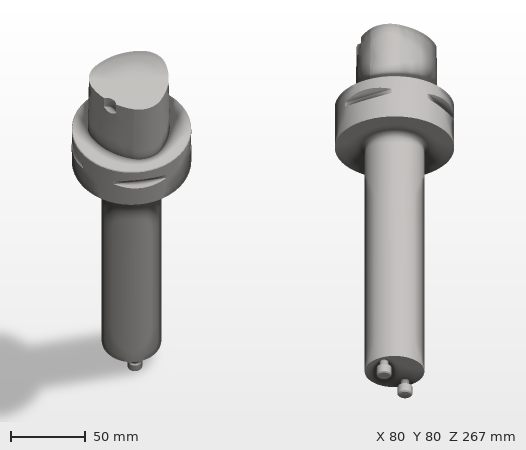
import cadquery as cq
import math

total_height = 267.0
shank_height = 48.0
flange_height = 32.0
screw_length = 11.0

flange_diameter = 80.0
flange_chamfer = 0.5
bar_diameter = 40.0
neck_fillet = 3.0

lobe_reach = 29.5
flank_reach = 25.5
lobe_half_angle = 36.0
first_lobe = 90.0
lobe_count = 3
lobe_spacing = 360.0 / lobe_count
shank_taper_angle = 0.9

mark_radius = 6.5
mark_depth = 8.3
mark_wall_y = -22.2
mark_cone_slope = 40.0

groove_count = 4
first_groove = 45.0
groove_drop = 12.0
groove_depth = 4.3
groove_floor_width = 3.2
groove_mouth_width = 8.3

screw_shaft_diameter = 6.0
screw_offset = bar_diameter / 4
screw_head_diameter = 10.0
screw_head_height = 6.5
screw_head_chamfer = 0.8

flange_top = total_height - shank_height
flange_bottom = flange_top - flange_height
bar_bottom = screw_length
flange_radius = flange_diameter / 2
bar_radius = bar_diameter / 2


def polar(radius, degrees):
    angle = math.radians(degrees)
    return radius * math.cos(angle), radius * math.sin(angle)


def make_bar_and_flange():
    bar_length = flange_bottom - bar_bottom
    bar = cq.Workplane("XY", origin=(0, 0, bar_bottom)).circle(bar_radius).extrude(bar_length)
    flange = cq.Workplane("XY", origin=(0, 0, flange_bottom)).circle(flange_radius).extrude(flange_height)
    flange = flange.faces(">Z").edges().chamfer(flange_chamfer)
    body = bar.union(flange)
    inner_corner = cq.selectors.RadiusNthSelector(0)
    return body.faces("<Z[1]").edges(inner_corner).fillet(neck_fillet)


def make_shank():
    flank_angle = lobe_spacing / 2
    half_lobe = math.radians(lobe_half_angle)
    sin_flank = math.sin(math.radians(flank_angle))
    cos_flank = math.cos(math.radians(flank_angle))
    tangency = 1 - cos_flank - sin_flank * math.tan(half_lobe / 2)
    flank_center = (lobe_reach - flank_reach) / tangency
    lobe_center = flank_center * (sin_flank / math.tan(half_lobe) - cos_flank)
    lobe_radius = lobe_reach - lobe_center

    seam_along = lobe_center + lobe_radius * math.cos(half_lobe)
    seam_across = lobe_radius * math.sin(half_lobe)
    seam_reach = math.hypot(seam_along, seam_across)
    seam_angle = math.degrees(math.atan2(seam_across, seam_along))

    outline = cq.Workplane("XY").workplane(offset=flange_top)
    outline = outline.moveTo(*polar(seam_reach, first_lobe - seam_angle))
    for index in range(lobe_count):
        lobe = first_lobe + index * lobe_spacing
        next_lobe = lobe + lobe_spacing
        outline = outline.threePointArc(polar(lobe_reach, lobe), polar(seam_reach, lobe + seam_angle))
        outline = outline.threePointArc(
            polar(flank_reach, lobe + flank_angle),
            polar(seam_reach, next_lobe - seam_angle),
        )
    return outline.close().extrude(shank_height, taper=shank_taper_angle)


def make_mark():
    point_height = mark_radius * math.tan(math.radians(mark_cone_slope))
    shoulder = total_height - mark_depth
    drill = (
        cq.Workplane("XZ")
        .moveTo(0, total_height)
        .lineTo(mark_radius, total_height)
        .lineTo(mark_radius, shoulder)
        .lineTo(0, shoulder - point_height)
        .close()
        .revolve(360, (0, 0, 0), (0, 1, 0))
    )
    return drill.translate((0, mark_wall_y - mark_radius, 0))


def make_groove(direction):
    floor_x = flange_radius - groove_depth
    middle_z = flange_top - groove_drop
    slope = (groove_mouth_width - groove_floor_width) / 2 / groove_depth
    outer_x = flange_radius + groove_depth
    outer_half = groove_floor_width / 2 + slope * (outer_x - floor_x)
    groove = (
        cq.Workplane("XZ")
        .moveTo(floor_x, middle_z - groove_floor_width / 2)
        .lineTo(outer_x, middle_z - outer_half)
        .lineTo(outer_x, middle_z + outer_half)
        .lineTo(floor_x, middle_z + groove_floor_width / 2)
        .close()
        .extrude(flange_radius, both=True)
    )
    return groove.rotate((0, 0, 0), (0, 0, 1), direction)


def make_screw(x, y):
    head = cq.Workplane("XY").center(x, y).circle(screw_head_diameter / 2).extrude(screw_head_height)
    head = head.faces("<Z").edges().chamfer(screw_head_chamfer)
    shaft = cq.Workplane("XY").center(x, y).circle(screw_shaft_diameter / 2).extrude(screw_length)
    return head.union(shaft)


result = make_bar_and_flange().union(make_shank()).cut(make_mark())
for index in range(groove_count):
    result = result.cut(make_groove(first_groove + index * 360 / groove_count))
for side in (-1, 1):
    result = result.union(make_screw(side * screw_offset, -side * screw_offset))